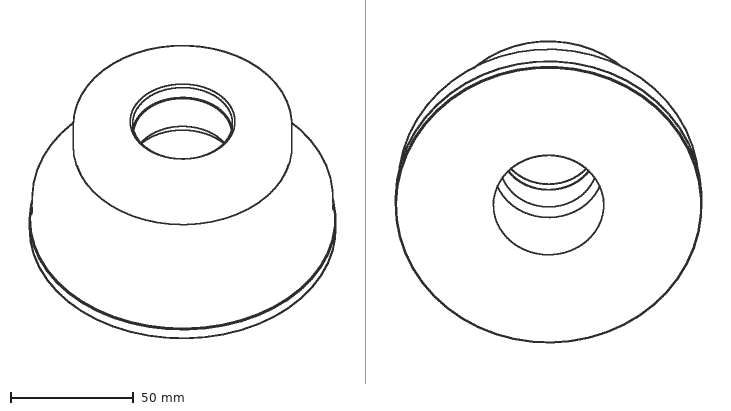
import cadquery as cq

height = 63.0
base_radius = 62.5
skirt_bottom_radius = 61.5
skirt_top_radius = 61.4
cone_bottom_radius = 60.9
cone_top_radius = 45.5
neck_radius = 43.8
neck_top_radius = 44.1
collar_radius = 44.6

base_chamfer = 0.4
base_top_z = 5.9
skirt_bottom_z = 8.2
skirt_top_z = 18.2
cone_bottom_z = 20.0
cone_top_z = 40.2
neck_z = 45.4
neck_top_z = 47.4
collar_bottom_z = 48.5
collar_fillet = 2.1

base_cove_mid = (61.9, 6.6)
skirt_round_mid = (61.2, 19.2)

mouth_radius = 20.4
mouth_chamfer = 1.0
seat_radius = 22.5
seat_top_z = 56.2

sleeve_bore_radius = 20.0
sleeve_bottom_z = 35.0
sleeve_flare_height = 4.8
sleeve_top_chamfer = 0.2


def make_housing():
    """Turned housing: stepped base, conical shoulder, grooved neck and collar."""
    body = (
        cq.Workplane("XZ")
        .lineTo(base_radius - base_chamfer, 0)
        .lineTo(base_radius, base_chamfer)
        .lineTo(base_radius, base_top_z - base_chamfer)
        .lineTo(base_radius - base_chamfer, base_top_z)
        .threePointArc(base_cove_mid, (skirt_bottom_radius, skirt_bottom_z))
        .lineTo(skirt_top_radius, skirt_top_z)
        .threePointArc(skirt_round_mid, (cone_bottom_radius, cone_bottom_z))
        .lineTo(cone_top_radius, cone_top_z)
        .threePointArc((neck_radius, neck_z), (neck_top_radius, neck_top_z))
        .lineTo(collar_radius, collar_bottom_z)
        .lineTo(collar_radius, height)
        .lineTo(0, height)
        .close()
        .revolve(360, (0, 0, 0), (0, 1, 0))
    )
    body = body.faces(">Z").edges().fillet(collar_fillet)

    mouth = cq.Workplane("XY").circle(mouth_radius).extrude(height)
    seat = cq.Workplane("XY").circle(seat_radius).extrude(seat_top_z)
    body = body.cut(mouth).cut(seat)
    mouth_edge = cq.selectors.RadiusNthSelector(0)
    return body.faces(">Z").edges(mouth_edge).chamfer(mouth_chamfer)


def make_sleeve():
    """Plain sleeve in the seat, with a flared lower mouth."""
    return (
        cq.Workplane("XZ")
        .moveTo(seat_radius, sleeve_bottom_z)
        .lineTo(seat_radius, seat_top_z)
        .lineTo(sleeve_bore_radius + sleeve_top_chamfer, seat_top_z)
        .lineTo(sleeve_bore_radius, seat_top_z - sleeve_top_chamfer)
        .lineTo(sleeve_bore_radius, sleeve_bottom_z + sleeve_flare_height)
        .close()
        .revolve(360, (0, 0, 0), (0, 1, 0))
    )


housing = make_housing()
sleeve = make_sleeve()
result = cq.Compound.makeCompound([housing.val(), sleeve.val()])